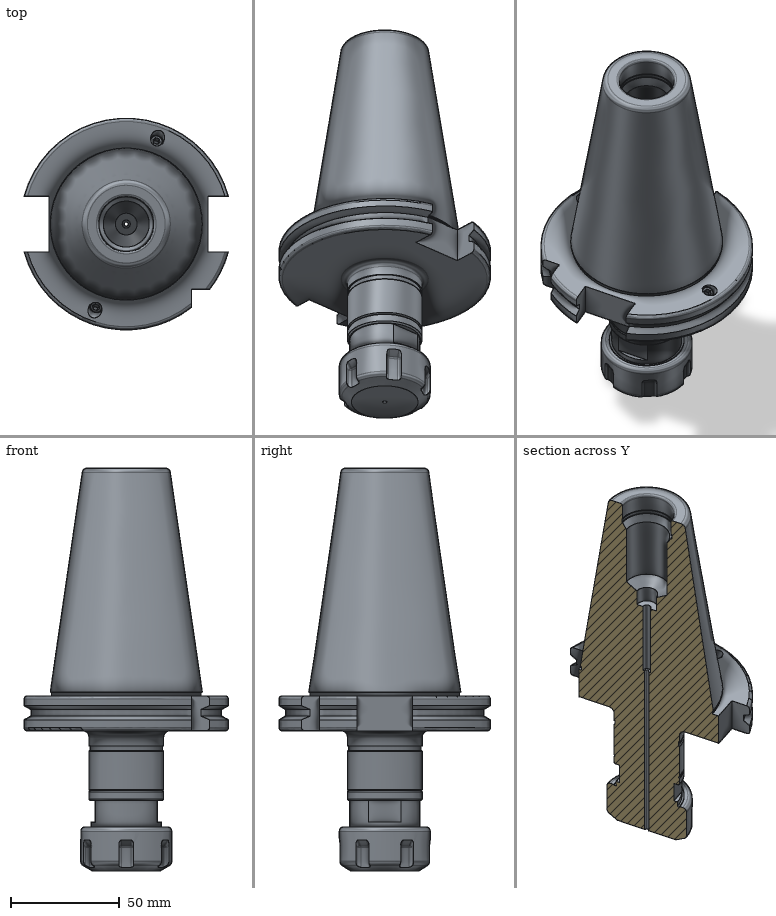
import cadquery as cq
import math

total_height = 185.8
overcut = 1.9

taper_ratio = 7 / 24
taper_base_radius = 35.1
taper_base_z = 82.3
taper_base_chamfer = 0.4
taper_top_fillet = 2.5

flange_diameter = 97.5
flange_radius = flange_diameter / 2
flange_top_z = 80.8
flange_bottom_z = 64.6
flange_edge_fillet = 1.5
relief_radius = 34.5
groove_floor_radius = 45.7
groove_floor_width = 3.0
groove_center_z = 73.0
groove_half_angle = 30.0

drive_slot_width = 25.6
left_slot_floor_x = 35.7
right_slot_floor_x = 37.7
notch_corner = 30.0

shank_radius = 17.3
shank_bottom_z = 32.5
shank_root_fillet = 2.8
shank_end_chamfer = 0.7
ring_groove_radius = 16.7
ring_groove_top_z = 57.8
ring_groove_width = 2.6
mark_groove_depth = 0.5
mark_groove_z = 37.2

neck_radius = 16.2
flat_distance = 14.3
flat_bottom_z = 22.7

nut_radius = 21.0
nut_top_z = 20.5
nut_top_fillet = 2.0
nut_edge_z = 4.6
nut_edge_fillet = 2.5
nut_cone_slope = 30.0
collar_groove_radius = 17.3
collar_groove_depth = 0.4

slot_count = 6
first_slot_angle = 30.0
slot_floor_radius = 18.4
slot_width = 6.9
slot_corner_fillet = 1.3
slot_floor_top_z = 11.3
slot_mouth_top_z = 14.5
long_slot_angle = 150.0
long_slot_extra = 2.0

mouth_fillet = 1.1
counterbore_radius = 12.6
counterbore_depth = 9.0
undercut_radius = 13.0
undercut_bottom_depth = 10.8
thread_radius = 10.5
thread_shoulder_depth = 14.1
thread_depth = 44.5
bore_floor_radius = 5.0
bore_tip_half_angle = 59.0
bore_floor_depth = 55.7
coolant_radius = 1.9
coolant_depth = 92.9
through_radius = 1.0

screw_radius = 3.2
screw_length = 7.5
screw_circle_radius = 42.2
screw_angles = (70.0, 250.0)
screw_tilt = 30.0
screw_recess = 2.8
screw_chamfer = 0.5
hex_sides = 6
hex_width = 3.0
hex_depth = 2.8


def revolve(points):
    """Turn a closed outline of (radius, z) points around Z."""
    return cq.Workplane("XZ").polyline(points).close().revolve(360, (0, 0, 0), (0, 1, 0))


def make_taper():
    top_radius = taper_base_radius - (total_height - taper_base_z) * taper_ratio / 2
    cone = revolve([
        (0, taper_base_z),
        (taper_base_radius, taper_base_z),
        (top_radius, total_height),
        (0, total_height),
    ])
    cone = cone.faces(">Z").edges().fillet(taper_top_fillet)
    relief_height = taper_base_z - flange_top_z
    relief = cq.Workplane("XY", origin=(0, 0, flange_top_z)).circle(relief_radius).extrude(relief_height)
    return cone.faces("<Z").edges().chamfer(taper_base_chamfer).union(relief)


def make_flange():
    disc = (
        cq.Workplane("XY", origin=(0, 0, flange_bottom_z))
        .circle(flange_radius)
        .extrude(flange_top_z - flange_bottom_z)
        .edges()
        .fillet(flange_edge_fillet)
    )
    outside = flange_radius + overcut
    floor_half = groove_floor_width / 2
    mouth_half = floor_half + (outside - groove_floor_radius) * math.tan(math.radians(groove_half_angle))
    groove = revolve([
        (groove_floor_radius, groove_center_z - floor_half),
        (outside, groove_center_z - mouth_half),
        (outside, groove_center_z + mouth_half),
        (groove_floor_radius, groove_center_z + floor_half),
    ])
    return disc.cut(groove)


def flange_cutter(x_min, x_max, y_min, y_max):
    """Block that cuts the full thickness of the flange over an XY rectangle."""
    return (
        cq.Workplane("XY", origin=(0, 0, flange_bottom_z))
        .center((x_min + x_max) / 2, (y_min + y_max) / 2)
        .rect(x_max - x_min, y_max - y_min)
        .extrude(flange_top_z - flange_bottom_z)
    )


def cut_flange_openings(flange):
    outside = flange_radius + overcut
    half = drive_slot_width / 2
    flange = flange.cut(flange_cutter(-outside, -left_slot_floor_x, -half, half))
    flange = flange.cut(flange_cutter(right_slot_floor_x, outside, -half, half))
    return flange.cut(flange_cutter(notch_corner, outside, -outside, -notch_corner))


def make_shank():
    fillet_z = flange_bottom_z - shank_root_fillet
    arc_inset = shank_root_fillet * (1 - math.sqrt(0.5))
    ring_step = shank_radius - ring_groove_radius
    ring_groove_bottom_z = ring_groove_top_z - ring_groove_width
    outline = (
        cq.Workplane("XZ")
        .moveTo(0, flange_bottom_z)
        .lineTo(shank_radius + shank_root_fillet, flange_bottom_z)
        .threePointArc((shank_radius + arc_inset, flange_bottom_z - arc_inset), (shank_radius, fillet_z))
        .lineTo(shank_radius, ring_groove_top_z)
        .lineTo(ring_groove_radius, ring_groove_top_z)
        .lineTo(ring_groove_radius, ring_groove_bottom_z + ring_step)
        .lineTo(shank_radius, ring_groove_bottom_z)
        .lineTo(shank_radius, mark_groove_z + mark_groove_depth)
        .lineTo(shank_radius - mark_groove_depth, mark_groove_z)
        .lineTo(shank_radius, mark_groove_z - mark_groove_depth)
        .lineTo(shank_radius, shank_bottom_z + shank_end_chamfer)
        .lineTo(shank_radius - shank_end_chamfer, shank_bottom_z)
        .lineTo(0, shank_bottom_z)
        .close()
    )
    return outline.revolve(360, (0, 0, 0), (0, 1, 0))


def make_neck():
    bottom_z = nut_top_z - collar_groove_depth
    neck = cq.Workplane("XY", origin=(0, 0, bottom_z)).circle(neck_radius).extrude(shank_bottom_z - bottom_z)
    between_flats = (
        cq.Workplane("XY", origin=(0, 0, flat_bottom_z))
        .rect(2 * flat_distance, 2 * nut_radius)
        .extrude(shank_bottom_z - flat_bottom_z)
    )
    below_flats = (
        cq.Workplane("XY", origin=(0, 0, bottom_z)).circle(nut_radius).extrude(flat_bottom_z - bottom_z)
    )
    return neck.intersect(between_flats.union(below_flats))


def make_nut_slot(angle, extra):
    """Cutter for one spanner slot: flat floor, sloping upper end, open at the bottom."""
    outside = nut_radius + overcut
    end_slope = (slot_mouth_top_z - slot_floor_top_z) / (nut_radius - slot_floor_radius)
    outer_top_z = slot_floor_top_z + end_slope * (outside - slot_floor_radius)
    cutter = (
        cq.Workplane("XZ")
        .polyline([
            (slot_floor_radius, -overcut),
            (outside, -overcut),
            (outside, outer_top_z + extra),
            (slot_floor_radius, slot_floor_top_z + extra),
        ])
        .close()
        .extrude(slot_width / 2, both=True)
        .faces("<X or >Z")
        .edges("not(>X or <Z)")
        .fillet(slot_corner_fillet)
    )
    return cutter.rotate((0, 0, 0), (0, 0, 1), angle)


def make_nut():
    """Nut with a rounded top edge, a rounded lower edge and a cone down to its end face."""
    arc_inset = nut_top_fillet * (1 - math.sqrt(0.5))
    groove_floor_z = nut_top_z - collar_groove_depth
    edge_center_radius = nut_radius - nut_edge_fillet
    cone_turn = math.radians(90 - nut_cone_slope)
    cone_radius = edge_center_radius + nut_edge_fillet * math.cos(cone_turn)
    cone_z = nut_edge_z - nut_edge_fillet * math.sin(cone_turn)
    face_radius = cone_radius - cone_z / math.tan(math.radians(nut_cone_slope))
    edge_middle = (
        edge_center_radius + nut_edge_fillet * math.cos(cone_turn / 2),
        nut_edge_z - nut_edge_fillet * math.sin(cone_turn / 2),
    )
    nut = (
        cq.Workplane("XZ")
        .lineTo(face_radius, 0)
        .lineTo(cone_radius, cone_z)
        .threePointArc(edge_middle, (nut_radius, nut_edge_z))
        .lineTo(nut_radius, nut_top_z - nut_top_fillet)
        .threePointArc(
            (nut_radius - arc_inset, nut_top_z - arc_inset),
            (nut_radius - nut_top_fillet, nut_top_z),
        )
        .lineTo(collar_groove_radius, nut_top_z)
        .lineTo(collar_groove_radius, groove_floor_z)
        .lineTo(0, groove_floor_z)
        .close()
        .revolve(360, (0, 0, 0), (0, 1, 0))
    )
    for i in range(slot_count):
        angle = first_slot_angle + i * 360.0 / slot_count
        extra = long_slot_extra if angle == long_slot_angle else 0.0
        nut = nut.cut(make_nut_slot(angle, extra))
    return nut


def make_bores():
    """Stepped drawbar bore with a conical end, running on into the bore through the whole axis."""
    tip_height = (thread_radius - bore_floor_radius) / math.tan(math.radians(bore_tip_half_angle))
    radius_depth_steps = [
        (counterbore_radius, 0),
        (counterbore_radius, counterbore_depth),
        (undercut_radius, counterbore_depth),
        (undercut_radius, undercut_bottom_depth),
        (counterbore_radius, undercut_bottom_depth),
        (thread_radius, thread_shoulder_depth),
        (thread_radius, thread_depth),
        (bore_floor_radius, thread_depth + tip_height),
        (bore_floor_radius, bore_floor_depth),
        (coolant_radius, bore_floor_depth),
        (coolant_radius, coolant_depth),
        (through_radius, coolant_depth),
        (through_radius, total_height),
    ]
    steps = [(radius, total_height - depth) for radius, depth in radius_depth_steps]
    return revolve([(0, total_height), *steps, (0, 0)])


def screw_plane(angle):
    """Plane at the mouth of a slanted hole, its normal pointing out of the hole along the axis."""
    turn = math.radians(angle)
    tilt = math.radians(screw_tilt)
    outward = (math.cos(turn), math.sin(turn))
    origin = (screw_circle_radius * outward[0], screw_circle_radius * outward[1], flange_top_z)
    normal = (math.sin(tilt) * outward[0], math.sin(tilt) * outward[1], math.cos(tilt))
    tangent = (-outward[1], outward[0], 0)
    return cq.Plane(origin=origin, xDir=tangent, normal=normal)


def make_screw_hole(angle):
    bottom = -screw_recess - screw_length
    length = screw_length + screw_recess + 2 * overcut
    return cq.Workplane(screw_plane(angle)).workplane(offset=bottom).circle(screw_radius).extrude(length)


def make_set_screw(angle):
    top = cq.Workplane(screw_plane(angle)).workplane(offset=-screw_recess)
    body = top.circle(screw_radius).extrude(-screw_length).edges().chamfer(screw_chamfer)
    hex_corner_diameter = hex_width / math.cos(math.pi / hex_sides)
    socket = top.polygon(hex_sides, hex_corner_diameter).extrude(-hex_depth)
    return body.cut(socket)


def make_holder():
    holder = cut_flange_openings(make_flange())
    for section in (make_taper(), make_shank(), make_neck(), make_nut()):
        holder = holder.union(section)
    holder = holder.cut(make_bores())
    mouth_edge = cq.selectors.RadiusNthSelector(0)
    holder = holder.faces(">Z").edges(mouth_edge).fillet(mouth_fillet)
    for angle in screw_angles:
        holder = holder.cut(make_screw_hole(angle))
    return holder


holder = make_holder()
set_screws = [make_set_screw(angle) for angle in screw_angles]

result = cq.Compound.makeCompound([holder.val(), *[screw.val() for screw in set_screws]])